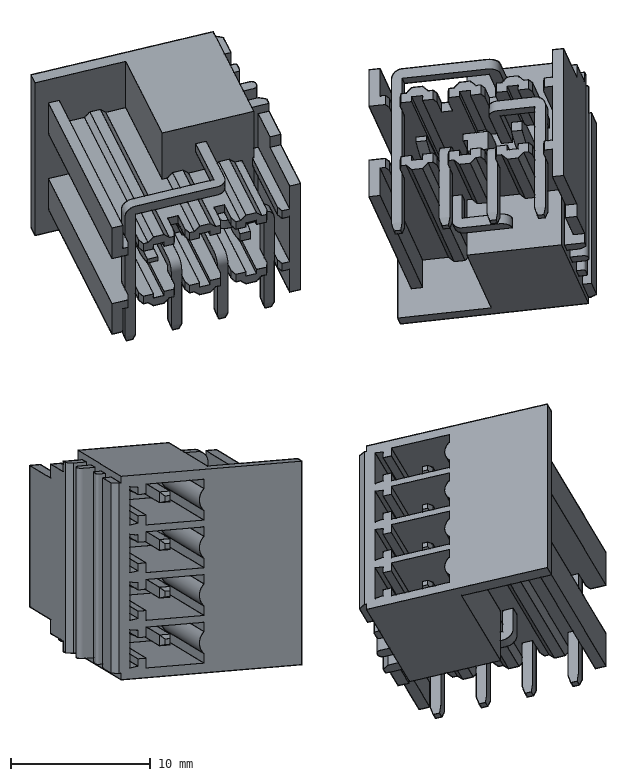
import cadquery as cq

LENGTH = 14.8
WIDTH = 15.3
HEIGHT = 14.96
MID_Z = HEIGHT / 2

FACE_T = 0.9
HOUSING_BACK = 8.86
BLOCK_Y = 6.87
HOUSING_TOP_Y = 13.82

WAYS = 4
PITCH = 3.5
CONTACT_Y = 9.8
PIN = 0.8
PIN_START_X = 1.25
PLUG_TIP_FLAT = 0.41
LEAD_TIP_FLAT = 0.49
PIN_TIP_LENGTH = 0.55
COLLAR_DIA = 1.8
COLLAR_HEIGHT = 0.76
COLLAR_CHAMFER = 0.23
levels = [MID_Z + (i - (WAYS - 1) / 2) * PITCH for i in range(WAYS)]

CAVITY_FLOOR_X = 7.95
OPENING_HEIGHT = 3.0
OPENING_Y = (7.48, 11.9)
BULGE_DEPTH = 0.35
BULGE_HALF = 0.81
NECK_HEIGHT = 1.56
NECK_END_Y = 12.53
HEAD_END_Y = 13.15
HEAD_HEIGHT_INNER = 2.63
HEAD_HEIGHT_OUTER = 2.82

COMB_FRONT_Y = 1.01
RAIL_HEIGHT = 3.0
RAIL_T = 0.83
COMB_T = 0.75
RAIL_INNER_Z = 2.2
SLOT_X = 12.84
FLARE_LENGTH = 0.49
FLARE = 0.18
RIDGE_BASE = 1.62
RIDGE_TOP = 0.8
RIDGE_HEIGHT = 0.41
GROOVE_DEPTH = 0.4
lead_rows = [CONTACT_Y + (i - 2) * PITCH for i in range(WAYS)]
LEAD_X = SLOT_X + PIN / 2

WALL_X = 7.93
HIGH_WALL_END_X = 10.5
HIGH_WALL_HEIGHT = 12.45
RIB_HEIGHT = 13.98
FOOT_RIB_X = (0, 2.0)
TAB_RIB_X = (3.21, 4.04)
PEG_RIB_X = (5.32, 6.1)
HOOK_RIB_X = (7.11, WALL_X)
FOOT_RIB_Y = 14.47
PEG_RIB_Y = 15.1
RIB_CHAMFER_X = 0.32
RIB_CHAMFER_Y = 0.5
TAB_ROUND = 0.18
PEG_ROUND = 0.37
RIB_ROOT = 0.15

FINGER_WIDTH = 0.8
LATCH_BOTTOM_Z = 6.69
RISER_GAP = 0.08
LATCH_TOP_Z = 2 * MID_Z - LATCH_BOTTOM_Z
LATCH_END_X = 13.46
LATCH_TAPER_X = 12.07
LATCH_TAPER = 0.43
SLOPE_START_Z = 7.75
SLOPE_END_Z = 7.5
STOP_Z = (7.93, 8.8)
STOP_STEP = 0.3
STOP_WEB_Z = 7.04
STOP_TAPER_X = 10.4
STOP_END_X = 11.43
STOP_TAPER = 0.3
STOP_LENGTH_Y = 1.84


def box(x0, x1, y0, y1, z0, z1):
    return cq.Workplane("XY").box(x1 - x0, y1 - y0, z1 - z0, False).translate((x0, y0, z0))


def prism_x(points, x0, x1):
    """Extrude a (y, z) outline along X."""
    return cq.Workplane("YZ").polyline(points).close().extrude(x1 - x0).translate((x0, 0, 0))


def prism_y(points, y0, y1):
    """Extrude an (x, z) outline along Y."""
    return cq.Workplane("XZ").polyline(points).close().extrude(y0 - y1).translate((0, y0, 0))


def cavity(z):
    """Keyed plug opening: rounded bulge on one side, T-shaped key on the other."""
    y0, y1 = OPENING_Y
    half = OPENING_HEIGHT / 2
    key = [
        (y1, half),
        (y1, NECK_HEIGHT / 2),
        (NECK_END_Y, NECK_HEIGHT / 2),
        (NECK_END_Y, HEAD_HEIGHT_INNER / 2),
        (HEAD_END_Y, HEAD_HEIGHT_OUTER / 2),
    ]
    outline = cq.Workplane("YZ").moveTo(y0, -half).lineTo(y0, -BULGE_HALF)
    outline = outline.threePointArc((y0 + BULGE_DEPTH, 0), (y0, BULGE_HALF)).lineTo(y0, half)
    for y, dz in key:
        outline = outline.lineTo(y, dz)
    for y, dz in reversed(key):
        outline = outline.lineTo(y, -dz)
    return outline.close().extrude(CAVITY_FLOOR_X).translate((0, 0, z))


def housing():
    body = box(0, FACE_T, 0, HOUSING_TOP_Y, 0, HEIGHT)
    body = body.union(box(0, HOUSING_BACK, BLOCK_Y, HOUSING_TOP_Y, 0, HEIGHT))
    for z in levels:
        body = body.cut(cavity(z))
        collar = (
            cq.Workplane("YZ", origin=(CAVITY_FLOOR_X - COLLAR_HEIGHT, CONTACT_Y, z))
            .circle(COLLAR_DIA / 2)
            .extrude(COLLAR_HEIGHT)
            .faces("<X")
            .chamfer(COLLAR_CHAMFER)
        )
        body = body.union(collar)
    return body


def lead_slot(y, x0):
    """Guide slot between two comb fingers, flared at the mouth."""
    half = PIN / 2
    flare_x = LENGTH - FLARE_LENGTH
    outline = [
        (x0, y - half),
        (flare_x, y - half),
        (LENGTH, y - half - FLARE),
        (LENGTH, y + half + FLARE),
        (flare_x, y + half),
        (x0, y + half),
    ]
    return cq.Workplane("XY").polyline(outline).close().extrude(HEIGHT)


def upper_comb():
    """Comb plate with an upright front rail; each finger is ridged outside and grooved inside."""
    bottom = MID_Z + RAIL_INNER_Z
    top = bottom + RAIL_HEIGHT
    floor = bottom + COMB_T
    back_y = WIDTH - RAIL_T
    comb = box(FACE_T, LENGTH, COMB_FRONT_Y, HOUSING_TOP_Y, bottom, floor)
    comb = comb.union(box(WALL_X, LENGTH, BLOCK_Y, back_y, bottom, floor))
    comb = comb.union(box(FACE_T, LENGTH, COMB_FRONT_Y, COMB_FRONT_Y + RAIL_T, bottom, top))
    for row in lead_rows[:-1]:
        y = row + PITCH / 2
        ridge = [
            (y - RIDGE_BASE / 2, floor),
            (y + RIDGE_BASE / 2, floor),
            (y + RIDGE_TOP / 2, floor + RIDGE_HEIGHT),
            (y - RIDGE_TOP / 2, floor + RIDGE_HEIGHT),
        ]
        comb = comb.union(prism_x(ridge, FACE_T, LENGTH))
        groove_y = (y - RIDGE_TOP / 2, y + RIDGE_TOP / 2)
        comb = comb.cut(box(FACE_T, LENGTH, *groove_y, bottom, bottom + GROOVE_DEPTH))
    for row in lead_rows:
        comb = comb.cut(lead_slot(row, SLOT_X))
    return comb


def back_wall():
    rail_half = RAIL_INNER_Z + RAIL_HEIGHT
    high_half = HIGH_WALL_HEIGHT / 2
    y0 = WIDTH - RAIL_T
    wall = box(WALL_X, LENGTH, y0, WIDTH, MID_Z - rail_half, MID_Z + rail_half)
    high = box(WALL_X, HIGH_WALL_END_X, y0, WIDTH, MID_Z - high_half, MID_Z + high_half)
    return wall.union(high)


def rib(x0, x1, y1):
    half = RIB_HEIGHT / 2
    return box(x0, x1, HOUSING_TOP_Y - RIB_ROOT, y1, MID_Z - half, MID_Z + half)


def back_ribs():
    foot = rib(*FOOT_RIB_X, FOOT_RIB_Y).edges("<X and >Y").chamfer(RIB_CHAMFER_Y, RIB_CHAMFER_X)
    tab = rib(*TAB_RIB_X, FOOT_RIB_Y).edges("|Z and >Y").fillet(TAB_ROUND)
    peg = rib(*PEG_RIB_X, PEG_RIB_Y).edges("|Z and >Y").fillet(PEG_ROUND)
    hook = rib(*HOOK_RIB_X, WIDTH).edges("<X and >Y").chamfer(RIB_CHAMFER_Y, RIB_CHAMFER_X)
    return foot.union(tab).union(peg).union(hook)


def latch_fingers():
    """Two tapered fingers and a shorter stop, reaching back from the housing at mid height."""
    front_y = lead_rows[0] + PITCH / 2 - FINGER_WIDTH / 2
    rear_y = lead_rows[2] + PITCH / 2 - FINGER_WIDTH / 2
    front = [
        (FACE_T, LATCH_BOTTOM_Z),
        (LATCH_TAPER_X, LATCH_BOTTOM_Z),
        (LATCH_END_X, LATCH_BOTTOM_Z + LATCH_TAPER),
        (LATCH_END_X, SLOPE_END_Z),
        (FACE_T, SLOPE_START_Z),
    ]
    rear = [
        (CAVITY_FLOOR_X, LATCH_BOTTOM_Z),
        (LATCH_TAPER_X, LATCH_BOTTOM_Z),
        (LATCH_END_X, LATCH_BOTTOM_Z + LATCH_TAPER),
        (LATCH_END_X, LATCH_TOP_Z - LATCH_TAPER),
        (LATCH_TAPER_X, LATCH_TOP_Z),
        (CAVITY_FLOOR_X, LATCH_TOP_Z),
    ]
    stop = [
        (CAVITY_FLOOR_X, STOP_Z[0]),
        (STOP_END_X, STOP_Z[0]),
        (STOP_END_X, STOP_Z[1] - STOP_TAPER),
        (STOP_TAPER_X, STOP_Z[1]),
        (CAVITY_FLOOR_X, STOP_Z[1]),
    ]
    fingers = prism_y(front, front_y, front_y + FINGER_WIDTH)
    fingers = fingers.union(prism_y(rear, rear_y, rear_y + FINGER_WIDTH))
    stop_y = BLOCK_Y + STOP_STEP
    stop_end_y = stop_y + STOP_LENGTH_Y
    fingers = fingers.union(prism_y(stop, stop_y, stop_end_y))
    web = box(CAVITY_FLOOR_X, STOP_END_X, stop_y + STOP_STEP, stop_end_y, STOP_WEB_Z, STOP_Z[0])
    return fingers.union(web)


def square_bar(start, end):
    """Axis-aligned square bar whose centre line runs between two points."""
    low = [min(a, b) - PIN / 2 for a, b in zip(start, end)]
    high = [max(a, b) + PIN / 2 for a, b in zip(start, end)]
    return box(low[0], high[0], low[1], high[1], low[2], high[2])


def bend_waste(before, corner, after):
    """Sharp outer corner to remove so that a bend is rounded about its inner corner."""
    into = [(c > b) - (c < b) for b, c in zip(before, corner)]
    out = [(a > c) - (a < c) for c, a in zip(corner, after)]
    inner = [c + (o - i) * PIN / 2 for c, i, o in zip(corner, into, out)]
    axis = [into[1] * out[2] - into[2] * out[1],
            into[2] * out[0] - into[0] * out[2],
            into[0] * out[1] - into[1] * out[0]]
    origin = [p - a * PIN / 2 for p, a in zip(inner, axis)]
    plane = cq.Plane(origin=tuple(origin), xDir=tuple(into), normal=tuple(axis))
    round_bar = cq.Workplane(plane).circle(PIN).extrude(PIN)
    return square_bar(corner, corner).cut(round_bar)


def contact(path):
    """Square pin bent along a path, tapered at both ends."""
    pin = square_bar(path[0], path[1])
    for start, end in zip(path[1:], path[2:]):
        pin = pin.union(square_bar(start, end))
    for before, corner, after in zip(path, path[1:], path[2:]):
        pin = pin.cut(bend_waste(before, corner, after))
    plug_x = path[0][0] - PIN / 2
    lead_y = path[-1][1]
    plug_tip = (
        cq.Workplane("YZ", origin=(plug_x, path[0][1], path[0][2]))
        .rect(PIN, PIN)
        .workplane(offset=-PIN_TIP_LENGTH)
        .rect(PLUG_TIP_FLAT, PLUG_TIP_FLAT)
        .loft()
    )
    lead_tip = (
        cq.Workplane("XY", origin=(LEAD_X, lead_y, PIN_TIP_LENGTH))
        .rect(PIN, PIN)
        .workplane(offset=-PIN_TIP_LENGTH)
        .rect(LEAD_TIP_FLAT, LEAD_TIP_FLAT)
        .loft()
    )
    return pin.union(plug_tip).union(lead_tip)


def contact_paths():
    """Centre lines of the four contacts, lowest first; each ends in its own lead row."""
    start_x = PIN_START_X + PIN_TIP_LENGTH + PIN / 2
    lead_end_z = PIN_TIP_LENGTH + PIN / 2
    riser_x = HOUSING_BACK + PIN / 2
    riser_top = LATCH_BOTTOM_Z - PIN / 2 - RISER_GAP
    starts = [(start_x, CONTACT_Y, z) for z in levels]
    first = [
        starts[0],
        (riser_x, CONTACT_Y, levels[0]),
        (riser_x, lead_rows[1], levels[0]),
        (riser_x, lead_rows[1], riser_top),
        (LEAD_X, lead_rows[1], riser_top),
        (LEAD_X, lead_rows[1], lead_end_z),
    ]
    second = [
        starts[1],
        (LEAD_X, CONTACT_Y, levels[1]),
        (LEAD_X, CONTACT_Y, lead_end_z),
    ]
    third = [
        starts[2],
        (LEAD_X, CONTACT_Y, levels[2]),
        (LEAD_X, lead_rows[3], levels[2]),
        (LEAD_X, lead_rows[3], lead_end_z),
    ]
    fourth = [
        starts[3],
        (LEAD_X, CONTACT_Y, levels[3]),
        (LEAD_X, lead_rows[0], levels[3]),
        (LEAD_X, lead_rows[0], lead_end_z),
    ]
    return [first, second, third, fourth]


top_comb = upper_comb()
bottom_comb = top_comb.mirror("XY", (0, 0, MID_Z))
top_comb = top_comb.cut(lead_slot(lead_rows[-1], HOUSING_BACK))

block_space = box(0, HOUSING_BACK, BLOCK_Y, HOUSING_TOP_Y, 0, HEIGHT)
frame = top_comb.union(bottom_comb).union(back_wall()).union(latch_fingers()).cut(block_space)

result = housing().union(frame).union(back_ribs())
for path in contact_paths():
    result = result.union(contact(path))